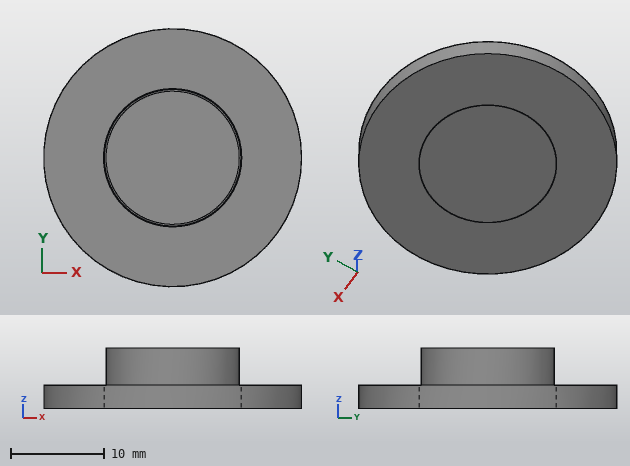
import cadquery as cq

ring_diameter = 27.7
ring_thickness = 2.5
bore_diameter = 14.8
collar_diameter = 14.7
plug_diameter = 14.3
overall_height = 6.5

plug_rise = overall_height - ring_thickness


def make_ring():
    """Flat washer with a plain through bore, resting on Z = 0."""
    return (
        cq.Workplane("XY")
        .circle(ring_diameter / 2)
        .circle(bore_diameter / 2)
        .extrude(ring_thickness)
    )


def make_plug():
    """Stepped plug: a collar loose in the bore and flush with the ring, then a narrower head."""
    collar = cq.Workplane("XY").circle(collar_diameter / 2).extrude(ring_thickness)
    return collar.faces(">Z").workplane().circle(plug_diameter / 2).extrude(plug_rise)


ring = make_ring()
plug = make_plug()

result = cq.Compound.makeCompound([ring.val(), plug.val()])